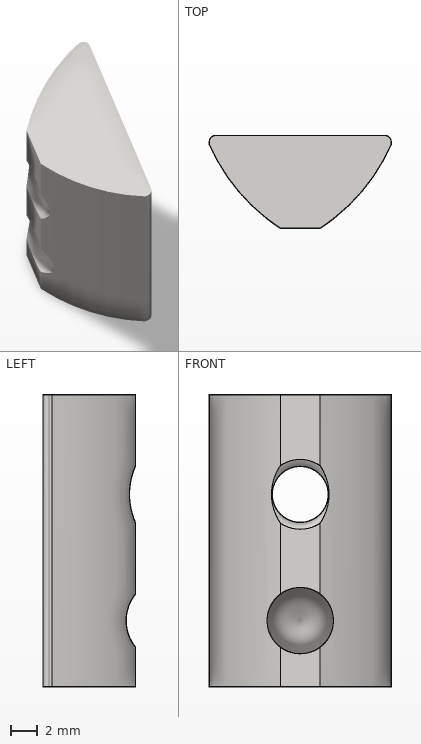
import cadquery as cq

length = 22.0
width = 13.7
thickness = 7.0
nose_width = 3.0
corner_radius = 0.48
shoulder_depth = 0.68
flank_mid_x = 4.66
flank_mid_depth = 4.2

through_diameter = 4.2
mouth_diameter = 5.25
through_height = 14.5

blind_diameter = 5.0
blind_height = 5.0
blind_depth = 4.4
tip_depth = 1.45

back_y = thickness / 2
nose_y = -thickness / 2
bottom_z = -length / 2


def make_body():
    """Extrude the symmetric cross-section along Z."""
    half_width = width / 2
    half_nose = nose_width / 2
    shoulder_y = back_y - shoulder_depth
    flank_y = back_y - flank_mid_depth
    body = (
        cq.Workplane("XY", origin=(0, 0, bottom_z))
        .moveTo(-half_width, back_y)
        .lineTo(half_width, back_y)
        .lineTo(half_width, shoulder_y)
        .threePointArc((flank_mid_x, flank_y), (half_nose, nose_y))
        .lineTo(-half_nose, nose_y)
        .threePointArc((-flank_mid_x, flank_y), (-half_width, shoulder_y))
        .close()
        .extrude(length)
    )
    return body.edges("|Z and >Y").fillet(corner_radius)


def revolve_cutter(profile, height):
    """Turn a (radius, depth from nose) profile about a Y-directed axis."""
    points = [(radius, nose_y + depth) for radius, depth in profile]
    cutter = cq.Workplane("XY").polyline(points).close().revolve(360, (0, 0, 0), (0, 1, 0))
    return cutter.translate((0, 0, bottom_z + height))


def make_through_hole():
    """Plain bore through the thickness with a 90 degree countersink."""
    bore_radius = through_diameter / 2
    mouth_radius = mouth_diameter / 2
    sink_depth = mouth_radius - bore_radius
    profile = [
        (0, 0),
        (mouth_radius, 0),
        (bore_radius, sink_depth),
        (bore_radius, thickness),
        (0, thickness),
    ]
    return revolve_cutter(profile, through_height)


def make_blind_hole():
    """Drilled pocket ending in a drill-point cone."""
    radius = blind_diameter / 2
    profile = [
        (0, 0),
        (radius, 0),
        (radius, blind_depth),
        (0, blind_depth + tip_depth),
    ]
    return revolve_cutter(profile, blind_height)


result = make_body().cut(make_through_hole()).cut(make_blind_hole())